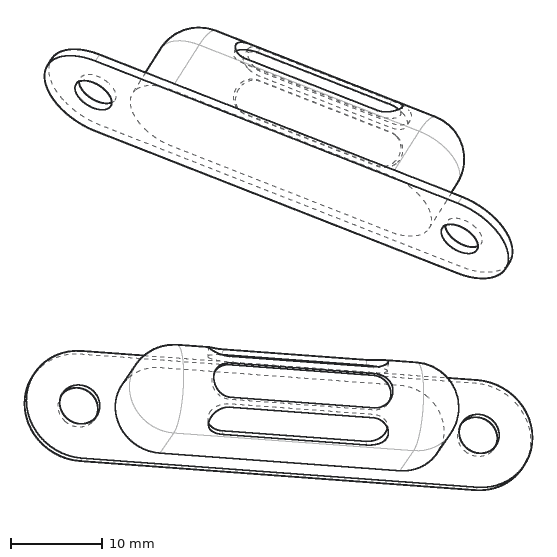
import cadquery as cq
import math

plate_length = 57.0
plate_width = 12.5
plate_thickness = 1.0
hole_diameter = 4.5
hole_spacing = 45.0

housing_length = 37.0
housing_width = 10.0
overall_depth = 13.0
housing_radius = housing_width / 2
dome_center_y = overall_depth - housing_radius
straight_length = housing_length - housing_width

slot_length = 20.2
slot_width = 4.0
slot_depth = 1.0
slot_angles = (-60, 0, 60)

outward_plane = cq.Plane(origin=(0, 0, 0), xDir=(1, 0, 0), normal=(0, 1, 0))


def make_plate():
    return (
        cq.Workplane(outward_plane)
        .slot2D(plate_length, plate_width)
        .extrude(plate_thickness)
        .pushPoints([(-hole_spacing / 2, 0), (hole_spacing / 2, 0)])
        .circle(hole_diameter / 2)
        .cutThruAll()
    )


def make_housing():
    housing = cq.Workplane(outward_plane).slot2D(housing_length, housing_width).extrude(dome_center_y)
    half_straight = straight_length / 2
    half_length = housing_length / 2
    arc_offset = housing_radius * math.sqrt(0.5)
    rounded_edge = (
        cq.Workplane("XY", origin=(0, dome_center_y, 0))
        .moveTo(-half_length, 0)
        .threePointArc((-half_straight - arc_offset, arc_offset), (-half_straight, housing_radius))
        .lineTo(half_straight, housing_radius)
        .threePointArc((half_straight + arc_offset, arc_offset), (half_length, 0))
        .close()
        .revolve(360, (0, 0, 0), (1, 0, 0))
    )
    return housing.union(rounded_edge)


def make_slot_cutter(angle):
    cutter = (
        cq.Workplane(outward_plane)
        .workplane(offset=housing_radius - slot_depth)
        .slot2D(slot_length, slot_width)
        .extrude(housing_radius)
    )
    return cutter.rotate((0, 0, 0), (1, 0, 0), angle).translate((0, dome_center_y, 0))


result = make_plate().union(make_housing())
for slot_angle in slot_angles:
    result = result.cut(make_slot_cutter(slot_angle))